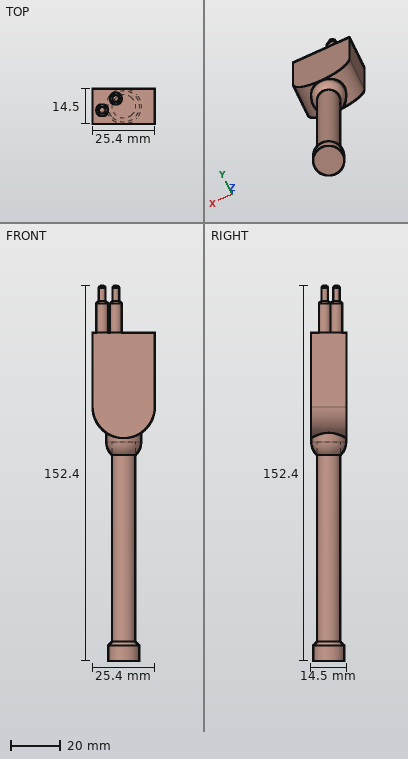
import cadquery as cq

overall_length = 152.4

housing_width = 25.4
housing_depth = 14.45
housing_height = 42.86
end_radius = housing_width / 2

collar_radius = 14.28 / 2
ball_centre = 88.9

tube_radius = 9.53 / 2
cap_radius = 12.7 / 2
cap_height = 7.94
cap_chamfer = cap_radius - tube_radius

pin_height = 19.05
sleeve_radius = 4.83 / 2
sleeve_height = 12.7
tip_radius = 2.79 / 2
shoulder_height = 0.85
dome_height = 1.05
dome_radius = (tip_radius**2 + dome_height**2) / (2 * dome_height)
pin_positions = [(-8.73, -1.59), (-3.175, 3.175)]

housing_top = overall_length - pin_height
housing_bottom = housing_top - housing_height
arc_centre = housing_bottom + end_radius


def make_housing():
    """Block with a round lower end, a ball-ended collar and a bore that takes the tube."""
    block = (
        cq.Workplane("XZ")
        .moveTo(-end_radius, housing_top)
        .lineTo(-end_radius, arc_centre)
        .threePointArc((0, housing_bottom), (end_radius, arc_centre))
        .lineTo(end_radius, housing_top)
        .close()
        .extrude(housing_depth / 2, both=True)
    )
    collar = (
        cq.Workplane("XY", origin=(0, 0, ball_centre))
        .circle(collar_radius)
        .extrude(arc_centre - ball_centre)
    )
    ball = cq.Workplane("XY", origin=(0, 0, ball_centre)).sphere(collar_radius)
    tube_bore = cq.Workplane("XY").circle(tube_radius).extrude(ball_centre)
    return block.union(collar).union(ball).cut(tube_bore)


def make_probe():
    """Turned tube with a coned cap; its upper end is seated at the ball centre of the collar."""
    return (
        cq.Workplane("XZ")
        .lineTo(cap_radius, 0)
        .lineTo(cap_radius, cap_height - cap_chamfer)
        .lineTo(tube_radius, cap_height)
        .lineTo(tube_radius, ball_centre)
        .lineTo(0, ball_centre)
        .close()
        .revolve(360, (0, 0), (0, 1))
    )


def make_pin(x, y):
    """Turned contact pin: sleeve, coned shoulder and a thinner tip with a shallow domed end."""
    return (
        cq.Workplane("XZ", origin=(x, y, housing_top))
        .lineTo(sleeve_radius, 0)
        .lineTo(sleeve_radius, sleeve_height - shoulder_height)
        .lineTo(tip_radius, sleeve_height)
        .lineTo(tip_radius, pin_height - dome_height)
        .radiusArc((0, pin_height), -dome_radius)
        .close()
        .revolve(360, (0, 0), (0, 1))
    )


housing = make_housing()
probe = make_probe()
pins = [make_pin(x, y) for x, y in pin_positions]

result = cq.Compound.makeCompound([housing.val(), probe.val(), *[pin.val() for pin in pins]])